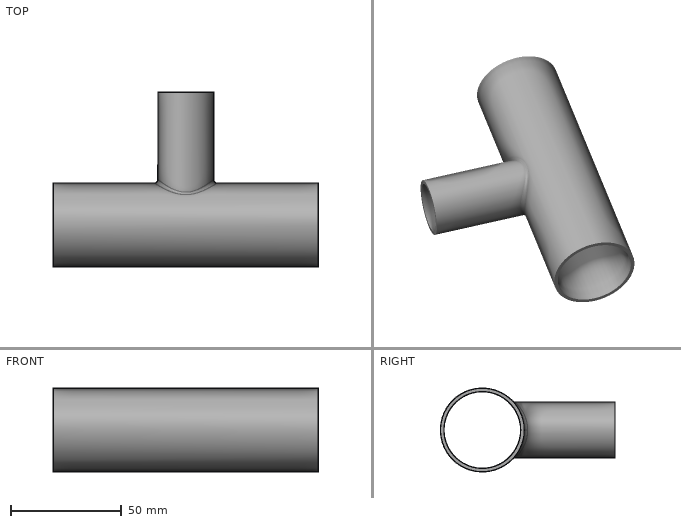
import cadquery as cq

run_length = 120.6
run_outer_diameter = 38.1
run_bore_diameter = 34.7
branch_outer_diameter = 25.5
branch_bore_diameter = 22.1
branch_reach = 60.3
weld_fillet_radius = 1.6


def run_cylinder(diameter):
    """Cylinder along X, centred on the origin."""
    return cq.Workplane("YZ").circle(diameter / 2).extrude(run_length / 2, both=True)


def branch_cylinder(diameter):
    """Cylinder along +Y, from the run axis to the open end of the branch."""
    return cq.Workplane("XZ").circle(diameter / 2).extrude(-branch_reach)


def outer_body():
    """Solid tee with a filleted seam where the branch meets the run."""
    tee = run_cylinder(run_outer_diameter).union(branch_cylinder(branch_outer_diameter))
    run_radius = run_outer_diameter / 2
    seam_box = cq.selectors.BoxSelector(
        (-run_radius, 0, -run_radius),
        (run_radius, run_radius, run_radius),
        boundingbox=False,
    )
    return tee.edges(seam_box).fillet(weld_fillet_radius)


result = (
    outer_body()
    .cut(run_cylinder(run_bore_diameter))
    .cut(branch_cylinder(branch_bore_diameter))
)